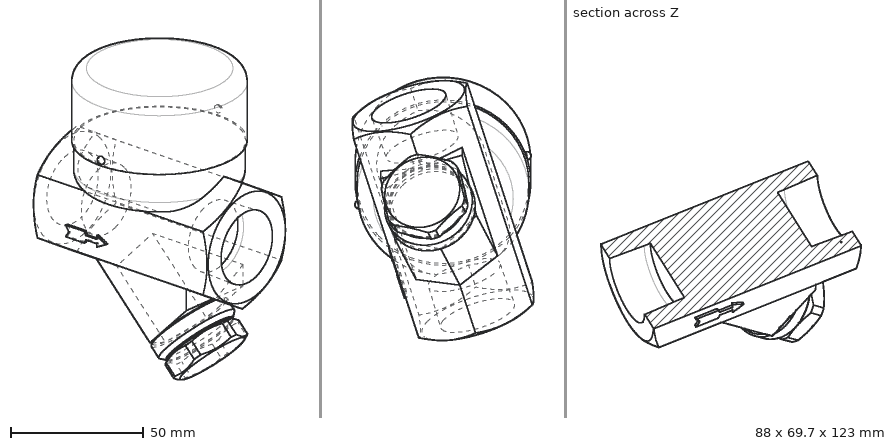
import cadquery as cq
import math

BODY_LENGTH = 88.0
BODY_ACROSS_FLATS = 45.0
BODY_END_CIRCLE_DIA = 44.2
END_CHAMFER_ANGLE = math.radians(30)
BARREL_CLEARANCE = 1.0
HALF_HEX_SECTOR = math.pi / 6

PORT_FLOOR_DIA = 28.57
PORT_TAPER = 1 / 16
PORT_THREAD_DEPTH = 14.3
PORT_DEPTH = 17.0

COVER_DIA = 66.5
COVER_TOP_Z = 61.5
COVER_BOTTOM_Z = 31.7
COVER_FILLET = 5.5
BOWL_DIA = 65.0
BOWL_BOTTOM_Z = 14.0
BOWL_FILLET = 6.0
PIN_RADIUS = 1.6
PIN_Z = 34.1

BRANCH_ANGLE = 45
BRANCH_AXIS_START_X = -24.0
BRANCH_SLOPE = math.cos(math.radians(BRANCH_ANGLE))
BRANCH_AXIS_OFFSET = BRANCH_AXIS_START_X * BRANCH_SLOPE
BRANCH_DIRECTION = cq.Vector(1, 0, -1)
BRANCH_WIDTH = 32.3
BRANCH_RIDGE = 16.7
BRANCH_ROOT = -5.0
BRANCH_END = 37.6
BRANCH_BACK = 29.0
BRANCH_WALL_X = 27.8

PLUG_NECK_DIA = 29.0
COLLAR_DIA = 34.0
COLLAR_END = 45.5
COLLAR_INNER_CHAMFER_LENGTH = 0.5
COLLAR_INNER_CHAMFER_DEPTH = 0.9
COLLAR_OUTER_CHAMFER = 2.0
HEAD_START = 46.1
HEAD_ACROSS_FLATS = 30.0
HEAD_TURNED_DIA = 33.0
HEAD_END = 54.65

ARROW_TAIL_X = -26.6
ARROW_NOTCH_X = -25.0
ARROW_FEATHER_END_X = -17.2
ARROW_SHAFT_START_X = -16.5
ARROW_HEAD_X = -11.0
ARROW_TIP_X = -6.3
ARROW_Z = -5.5
ARROW_HALF_HEIGHT = 2.4
ARROW_SHAFT_HALF_HEIGHT = 0.9
ARROW_RELIEF = 1.0


def across_corners(across_flats):
    return across_flats / math.cos(HALF_HEX_SECTOR)


def branch_plane(distance):
    """Plane across the branch axis: local x is up towards +X, local y is +Y."""
    origin = (
        (BRANCH_AXIS_OFFSET + distance) * BRANCH_SLOPE,
        0,
        (BRANCH_AXIS_OFFSET - distance) * BRANCH_SLOPE,
    )
    return cq.Workplane(cq.Plane(origin=origin, xDir=(1, 0, 1), normal=BRANCH_DIRECTION))


def chamfered_barrel(radius, end_radius, length):
    """Cylinder along X, centred on the origin, with coned ends."""
    half = length / 2
    cone = (radius - end_radius) * math.tan(END_CHAMFER_ANGLE)
    return (
        cq.Workplane("XY")
        .moveTo(-half, 0)
        .lineTo(-half, end_radius)
        .lineTo(-half + cone, radius)
        .lineTo(half - cone, radius)
        .lineTo(half, end_radius)
        .lineTo(half, 0)
        .close()
        .revolve(360, (0, 0, 0), (1, 0, 0))
    )


def make_body():
    corner_dia = across_corners(BODY_ACROSS_FLATS)
    bar = (
        cq.Workplane("YZ", origin=(-BODY_LENGTH / 2, 0, 0))
        .transformed(rotate=(0, 0, 90))
        .polygon(6, corner_dia)
        .extrude(BODY_LENGTH)
    )
    barrel_radius = corner_dia / 2 + BARREL_CLEARANCE
    return bar.intersect(chamfered_barrel(barrel_radius, BODY_END_CIRCLE_DIA / 2, BODY_LENGTH))


def make_cover():
    cover = (
        cq.Workplane("XY", origin=(0, 0, COVER_BOTTOM_Z))
        .circle(COVER_DIA / 2)
        .extrude(COVER_TOP_Z - COVER_BOTTOM_Z)
        .faces(">Z")
        .edges()
        .fillet(COVER_FILLET)
    )
    bowl = (
        cq.Workplane("XY", origin=(0, 0, BOWL_BOTTOM_Z))
        .circle(BOWL_DIA / 2)
        .extrude(COVER_BOTTOM_Z - BOWL_BOTTOM_Z)
        .faces("<Z")
        .edges()
        .fillet(BOWL_FILLET)
    )
    cover = cover.union(bowl)
    for side in (-1, 1):
        pin = cq.Workplane("XY").sphere(PIN_RADIUS).translate((0, side * COVER_DIA / 2, PIN_Z))
        cover = cover.union(pin)
    return cover


def make_branch():
    half_width = BRANCH_WIDTH / 2
    shoulder = BRANCH_RIDGE - half_width * math.tan(HALF_HEX_SECTOR)
    prism = (
        branch_plane(BRANCH_ROOT)
        .polyline([
            (-BRANCH_RIDGE, 0),
            (-shoulder, -half_width),
            (BRANCH_BACK, -half_width),
            (BRANCH_BACK, half_width),
            (-shoulder, half_width),
        ])
        .close()
        .extrude(BRANCH_END - BRANCH_ROOT)
    )
    beyond_wall = (
        cq.Workplane("XY")
        .box(BODY_LENGTH, BODY_LENGTH, BODY_LENGTH, centered=(False, True, True))
        .translate((BRANCH_WALL_X, 0, 0))
    )
    return prism.cut(beyond_wall)


def make_plug():
    neck_radius = PLUG_NECK_DIA / 2
    collar = (
        branch_plane(BRANCH_END)
        .circle(COLLAR_DIA / 2)
        .extrude(COLLAR_END - BRANCH_END)
        .faces(cq.selectors.DirectionMinMaxSelector(BRANCH_DIRECTION, directionMax=False))
        .edges()
        .chamfer(COLLAR_INNER_CHAMFER_LENGTH, COLLAR_INNER_CHAMFER_DEPTH)
        .faces(cq.selectors.DirectionMinMaxSelector(BRANCH_DIRECTION))
        .edges()
        .chamfer(COLLAR_OUTER_CHAMFER)
    )
    neck = branch_plane(COLLAR_END).circle(neck_radius).extrude(HEAD_START - COLLAR_END)
    head_length = HEAD_END - HEAD_START
    barrel = chamfered_barrel(HEAD_TURNED_DIA / 2, neck_radius, head_length)
    head_middle = branch_plane((HEAD_START + HEAD_END) / 2).plane.origin
    barrel = barrel.rotate((0, 0, 0), (0, 1, 0), BRANCH_ANGLE).translate(head_middle)
    head = (
        branch_plane(HEAD_START)
        .polygon(6, across_corners(HEAD_ACROSS_FLATS))
        .extrude(head_length)
        .intersect(barrel)
    )
    return collar.union(neck).union(head)


def make_port(side):
    """Tool for the port at the -X end (side -1) or the +X end (side 1)."""
    floor_radius = PORT_FLOOR_DIA / 2
    mouth_radius = floor_radius + PORT_TAPER * PORT_THREAD_DEPTH / 2
    mouth_x = side * BODY_LENGTH / 2
    thread_end_x = mouth_x - side * PORT_THREAD_DEPTH
    floor_x = mouth_x - side * PORT_DEPTH
    return (
        cq.Workplane("XY")
        .polyline([
            (mouth_x, 0),
            (mouth_x, mouth_radius),
            (thread_end_x, floor_radius),
            (floor_x, floor_radius),
            (floor_x, 0),
        ])
        .close()
        .revolve(360, (0, 0, 0), (1, 0, 0))
    )


def make_arrow():
    upper_edge = [
        (ARROW_TAIL_X, ARROW_HALF_HEIGHT),
        (ARROW_FEATHER_END_X, ARROW_HALF_HEIGHT),
        (ARROW_SHAFT_START_X, ARROW_SHAFT_HALF_HEIGHT),
        (ARROW_HEAD_X, ARROW_SHAFT_HALF_HEIGHT),
        (ARROW_HEAD_X, ARROW_HALF_HEIGHT),
    ]
    lower_edge = [(x, -z) for x, z in reversed(upper_edge)]
    outline = [(ARROW_NOTCH_X, 0)] + upper_edge + [(ARROW_TIP_X, 0)] + lower_edge
    return (
        cq.Workplane("XZ", origin=(0, -BODY_ACROSS_FLATS / 2, ARROW_Z))
        .polyline(outline)
        .close()
        .extrude(ARROW_RELIEF, both=True)
    )


result = make_body().union(make_cover()).union(make_branch()).union(make_plug()).union(make_arrow())
for port_side in (-1, 1):
    result = result.cut(make_port(port_side))